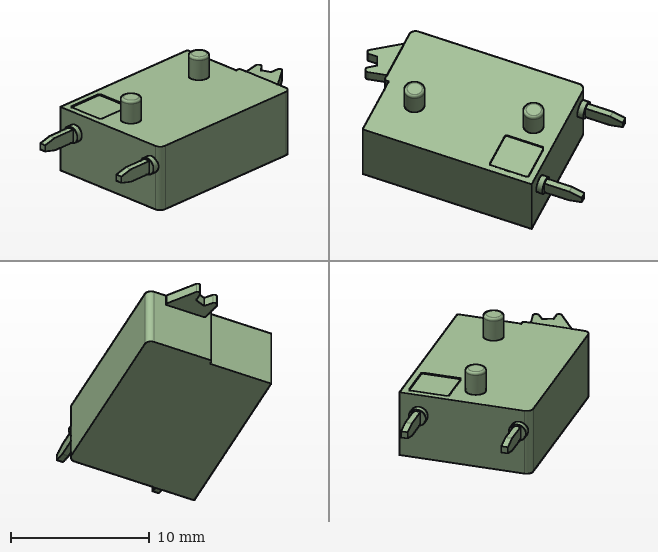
import cadquery as cq

body_width = 10.0
body_depth = 13.6
body_height = 5.08
body_corner_radius = 0.5
step_x = 4.87
step_depth = 0.35
step_radius = 0.15

peg_diameter = 1.5
peg_height = 1.8
peg_edge_radius = 0.2
peg_centers = [(3.6, 10.7), (5.13, 2.02)]

pin_pitch = 7.62
first_pin_x = 1.5
pin_axis_z = 3.49
pin_width = 0.5
pin_thickness = 1.0
pin_tip_thickness = 0.5
pin_taper_length = 1.0
pin_length = 3.4
collar_diameter = 1.3
collar_length = 0.47

lever_thickness = 0.83
lever_top_gap = 0.11
lever_left_x = 5.44
lever_right_x = 8.55
lever_right_edge = 0.16
lever_notch = (5.99, 1.05)
lever_hook_x = 6.76
lever_hook_root = 1.35
finger_apex = (4.97, 2.34)
hook_apex_y = 2.61
finger_radius = 0.23
hook_radius = 0.2

recess_size = 3.03
recess_margin = 0.51
recess_depth = 0.1
recess_corner_radius = 0.17


def make_body():
    """Block with a stepped back face and rounded right-hand corners."""
    shoulder_y = body_depth - step_depth
    block = (
        cq.Workplane("XY")
        .moveTo(0, 0)
        .lineTo(body_width, 0)
        .lineTo(body_width, body_depth)
        .lineTo(step_x, body_depth)
        .lineTo(step_x, shoulder_y)
        .lineTo(0, shoulder_y)
        .close()
        .extrude(body_height)
    )
    block = block.edges("|Z and >X").fillet(body_corner_radius)
    step_corner = cq.selectors.NearestToPointSelector((step_x, body_depth, body_height / 2))
    return block.edges("|Z").edges(step_corner).fillet(step_radius)


def cut_recess(body):
    """Square recess near the left front corner of the top face."""
    center = recess_margin + recess_size / 2
    recess = (
        cq.Workplane("XY", origin=(center, center, body_height - recess_depth))
        .rect(recess_size, recess_size)
        .extrude(recess_depth)
        .edges("|Z")
        .fillet(recess_corner_radius)
    )
    return body.cut(recess)


def make_peg(x, y):
    """Upright round peg with a rounded top rim."""
    return (
        cq.Workplane("XY", origin=(x, y, body_height))
        .circle(peg_diameter / 2)
        .extrude(peg_height)
        .faces(">Z")
        .edges()
        .fillet(peg_edge_radius)
    )


def make_pin(x):
    """Flat pin with a tapered tip and a round collar, pointing toward -Y."""
    half = pin_thickness / 2
    half_tip = pin_tip_thickness / 2
    taper_start = -(pin_length - pin_taper_length)
    blade = (
        cq.Workplane("YZ", origin=(x, 0, pin_axis_z))
        .moveTo(0, -half)
        .lineTo(taper_start, -half)
        .lineTo(-pin_length, -half_tip)
        .lineTo(-pin_length, half_tip)
        .lineTo(taper_start, half)
        .lineTo(0, half)
        .close()
        .extrude(pin_width / 2, both=True)
    )
    collar = (
        cq.Workplane("XZ", origin=(x, body_corner_radius, pin_axis_z))
        .circle(collar_diameter / 2)
        .extrude(body_corner_radius + collar_length)
    )
    return blade.union(collar)


def make_lever():
    """Flat lever with a rounded finger and a rounded hook, pointing toward +Y."""
    bottom_z = body_height - lever_top_gap - lever_thickness
    plate = (
        cq.Workplane("XY", origin=(0, body_depth, bottom_z))
        .moveTo(lever_left_x, 0)
        .lineTo(*finger_apex)
        .lineTo(*lever_notch)
        .lineTo(lever_hook_x, lever_hook_root)
        .lineTo(lever_hook_x, hook_apex_y)
        .lineTo(lever_right_x, lever_right_edge)
        .lineTo(lever_right_x, 0)
        .close()
        .extrude(lever_thickness)
    )
    tips = [(*finger_apex, finger_radius), (lever_hook_x, hook_apex_y, hook_radius)]
    for tip_x, tip_y, tip_radius in tips:
        tip = (tip_x, body_depth + tip_y, bottom_z + lever_thickness / 2)
        nearest = cq.selectors.NearestToPointSelector(tip)
        plate = plate.edges("|Z").edges(nearest).fillet(tip_radius)
    return plate


result = cut_recess(make_body()).union(make_lever())
for peg_x, peg_y in peg_centers:
    result = result.union(make_peg(peg_x, peg_y))
for pin_x in [first_pin_x, first_pin_x + pin_pitch]:
    result = result.union(make_pin(pin_x))